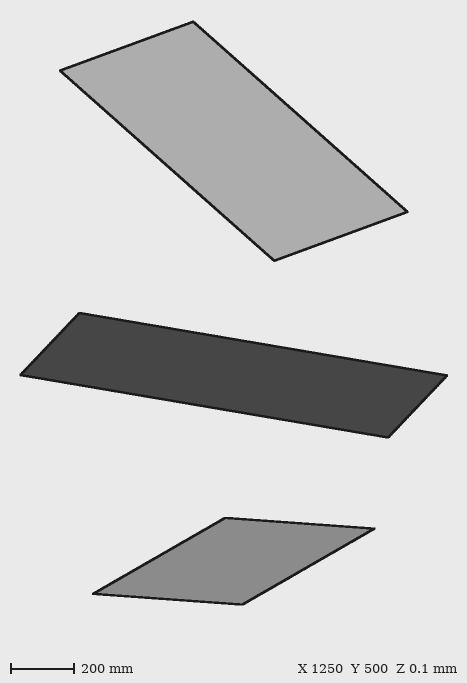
import math

import cadquery as cq

LENGTH = 1250.0
WIDTH = 500.0
THICKNESS = 0.1

NOSE_X = -375.0
NOSE_Y = -6.0
TAIL_X = -73.0
TAIL_Y = 2.5
CAMBER = 0.051
CAMBER_PLACE = 0.41
RELATIVE_THICKNESS = 0.143
HALF_THICKNESS_SCALE = 5.0
ROOT_TERM = 0.2969
POWER_TERMS = (-0.1260, -0.3516, 0.2843, -0.1036)

RING_WIDTH = 13.5
CURVE_SPANS = 12
TANGENT_STEP = 1e-4

UPPER_TAIL = -1.0
LOWER_TAIL = 1.0

FORWARD_SEAM_X = -288.0
MIDDLE_SEAM_X = 0.0
SEAM_PLACES = (UPPER_TAIL, -0.77, -0.55, -0.31, -0.04, 0.12, 0.54, 0.77, LOWER_TAIL)


def mean_line(u):
    """Height of the cambered mean line over the chord, both as fractions of the chord."""
    if u < CAMBER_PLACE:
        return CAMBER / CAMBER_PLACE**2 * (2 * CAMBER_PLACE * u - u**2)
    return CAMBER / (1 - CAMBER_PLACE) ** 2 * (1 - 2 * CAMBER_PLACE + 2 * CAMBER_PLACE * u - u**2)


def aerofoil_point(place):
    """Point (x, y) on the aerofoil."""
    u = place**2
    chord = TAIL_X - NOSE_X
    powers = sum(term * u**power for power, term in enumerate(POWER_TERMS, start=1))
    profile = ROOT_TERM * abs(place) + powers
    half_thickness = HALF_THICKNESS_SCALE * RELATIVE_THICKNESS * profile
    y = mean_line(u) - math.copysign(half_thickness, place)
    return NOSE_X + chord * u, NOSE_Y + (TAIL_Y - NOSE_Y) * u + chord * y


def outline_point(place, offset):
    """Point on the underside at a distance outward from the aerofoil."""
    x, y = aerofoil_point(place)
    x_before, y_before = aerofoil_point(place - TANGENT_STEP)
    x_after, y_after = aerofoil_point(place + TANGENT_STEP)
    dx = x_after - x_before
    dy = y_after - y_before
    size = math.hypot(dx, dy)
    return cq.Vector(x + offset * dy / size, y - offset * dx / size, 0)


def outline_edge(start, end, offset):
    """Spline that follows the aerofoil, at an offset, between two places."""
    places = [start + (end - start) * i / CURVE_SPANS for i in range(CURVE_SPANS + 1)]
    return cq.Edge.makeSpline([outline_point(place, offset) for place in places])


def tail_arc(start, end):
    """Arc of the ring around the tail between two points."""
    tail = cq.Vector(TAIL_X, TAIL_Y, 0)
    middle = tail + ((start + end) * 0.5 - tail).normalized() * RING_WIDTH
    return cq.Edge.makeThreePointArc(start, middle, end)


def closed_face(edges, holes=()):
    return cq.Face.makeFromWires(cq.Wire.assembleEdges(edges), list(holes))


def polygon_face(points):
    return cq.Face.makeFromWires(cq.Wire.makePolygon(points, close=True))


def border_points():
    """Seam ends on the border, counterclockwise from the upper tail seam round to the tail."""
    right = LENGTH / 2
    back = WIDTH / 2
    return [
        cq.Vector(right, back, 0),
        cq.Vector(MIDDLE_SEAM_X, back, 0),
        cq.Vector(FORWARD_SEAM_X, back, 0),
        cq.Vector(-right, back, 0),
        cq.Vector(-right, 0, 0),
        cq.Vector(-right, -back, 0),
        cq.Vector(FORWARD_SEAM_X, -back, 0),
        cq.Vector(MIDDLE_SEAM_X, -back, 0),
        cq.Vector(right, -back, 0),
        cq.Vector(right, 0, 0),
    ]


def ring_outline():
    """Outer edges of the ring and their start points, in the same order as the border points."""
    points = [outline_point(place, RING_WIDTH) for place in SEAM_PLACES]
    points.append(cq.Vector(TAIL_X + RING_WIDTH, TAIL_Y, 0))
    edges = [outline_edge(start, end, RING_WIDTH) for start, end in zip(SEAM_PLACES, SEAM_PLACES[1:])]
    edges.append(tail_arc(points[-2], points[-1]))
    edges.append(tail_arc(points[-1], points[0]))
    return points, edges


def underside_faces(border):
    ring_points, ring_edges = ring_outline()
    aerofoil = cq.Wire.assembleEdges(
        [outline_edge(UPPER_TAIL, 0, 0), outline_edge(0, LOWER_TAIL, 0)]
    )
    faces = [cq.Face.makeFromWires(aerofoil), closed_face(ring_edges, [aerofoil])]
    for i, ring_edge in enumerate(ring_edges):
        following = (i + 1) % len(border)
        block = [
            ring_edge,
            cq.Edge.makeLine(ring_points[following], border[following]),
            cq.Edge.makeLine(border[following], border[i]),
            cq.Edge.makeLine(border[i], ring_points[i]),
        ]
        faces.append(closed_face(block))
    return faces


def upper_faces(border):
    """Plain top and four plain sides, whose lower edges are divided where seams reach the border."""
    lift = cq.Vector(0, 0, THICKNESS)
    corners = [i for i, point in enumerate(border) if abs(point.x) == LENGTH / 2 and point.y != 0]
    faces = []
    for start, end in zip(corners, corners[1:] + [corners[0] + len(border)]):
        lower = [border[i % len(border)] for i in range(start, end + 1)]
        faces.append(polygon_face(lower + [lower[-1] + lift, lower[0] + lift]))
    top = polygon_face([border[i] + lift for i in corners])
    return faces + [top]


def sheet():
    border = border_points()
    shell = cq.Shell.makeShell(underside_faces(border) + upper_faces(border))
    return cq.Solid.makeSolid(shell).translate(cq.Vector(0, 0, -THICKNESS / 2))


result = cq.Workplane("XY").newObject([sheet()])